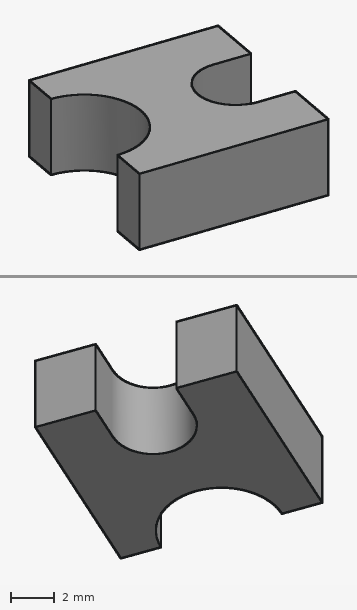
import cadquery as cq

side = 10.0
height = 4.0

slot_width = 4.0
slot_depth = 4.0
slot_radius = slot_width / 2
slot_center_y = side / 2 - slot_depth + slot_radius

recess_radius = 3.0


def make_block():
    """Square block centred on the origin in X and Y, resting on Z = 0."""
    return cq.Workplane("XY").rect(side, side).extrude(height)


def make_slot():
    """Cutter for the slot: a round end and a straight run out of the back face."""
    round_end = cq.Workplane("XY").center(0, slot_center_y).circle(slot_radius).extrude(height)
    straight_length = side / 2 - slot_center_y
    straight_run = (
        cq.Workplane("XY")
        .center(0, slot_center_y + straight_length / 2)
        .rect(slot_width, straight_length)
        .extrude(height)
    )
    return round_end.union(straight_run)


def make_recess():
    """Cylindrical cutter centred on the front face."""
    return cq.Workplane("XY").center(0, -side / 2).circle(recess_radius).extrude(height)


result = make_block().cut(make_slot()).cut(make_recess())